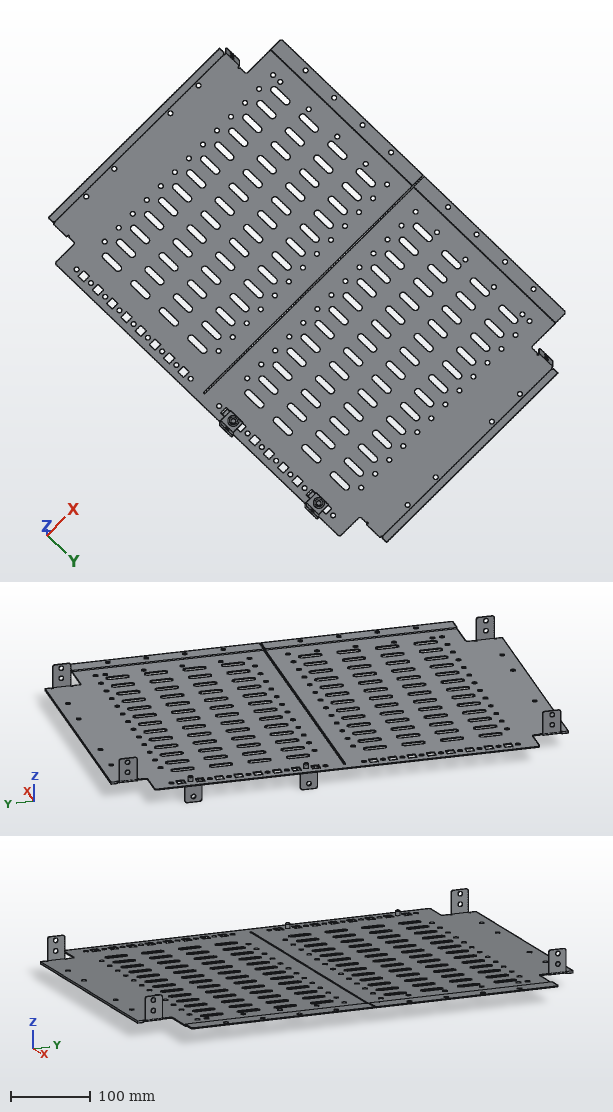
import cadquery as cq
import math

sheet = 1.5
pitch = 25.0
small_hole_dia = 6.0
cut_depth = 20.0
sides = (1, -1)

shelf_left = -201.25
shelf_right = 202.25
shelf_half_length = 250.0
shelf_corner_radius = 3.0
inner_corner_radius = 2.5

lip_start = 182.2
jog_run = 0.5
lip_hole_x = 195.0

flange_center_x = -12.5
flange_half_width = 152.5
flange_end = 296.8
flange_hole_y = 282.0
flange_hole_offsets = (-100.0, -50.0, 50.0, 100.0)
hem_length = 9.3

tab_center_y = 275.0
tab_width = 23.5
tab_height = 30.5
tab_corner_radius = 3.0
tab_hole_dia = 6.0
tab_hole_y = 275.7
tab_hole_heights = (11.3, 25.0)
relief_width = 2.0
relief_depth = 1.5

slot_columns = 13
slot_length = 30.0
slot_width = 8.3
slot_rows = [pitch * 2 * i for i in range(1, 5)]
hole_row_center_x = pitch / 2
hole_row_ys = (pitch, 9 * pitch)
window_column_x = -187.5
window_size = 10.0
window_ys = [pitch * (i + 0.5) for i in range(1, 9)]
round_ys = [pitch * i for i in range(1, 10)]
right_column_x = hole_row_center_x + 6 * pitch
right_column_ys = [pitch * (2 * i + 0.5) for i in range(1, 5)]
slit_width = 2.0
slit_start = -189.0

bracket_ys = (2 * pitch, 8 * pitch)
bracket_width = 22.0
bracket_sheet = 2.5
bracket_flange_length = 20.0
bracket_bottom = -23.5
bracket_corner_radius = 3.0
bracket_hole_dia = 6.0
bracket_hole_z = -16.0
lug_width = 9.0
lug_run = 4.1
lug_angle = 19.0

screw_dia = 6.0
screw_top = 6.5
screw_tip_chamfer = 1.2
collar_dia = 10.0
collar_height = 2.7
disc_dia = 14.0
disc_height = 0.8
screw_tail = 2.0


def box(x_min, x_max, y_min, y_max, z_min, z_max):
    block = cq.Workplane("XY").box(x_max - x_min, y_max - y_min, z_max - z_min, centered=False)
    return block.translate((x_min, y_min, z_min))


def shelf_blank():
    """Flat plate whose right edge jogs up by one sheet thickness to form the lip."""
    jog_start = lip_start - jog_run
    profile = [
        (shelf_left, -sheet),
        (jog_start + sheet, -sheet),
        (lip_start + sheet, 0),
        (shelf_right, 0),
        (shelf_right, sheet),
        (lip_start, sheet),
        (jog_start, 0),
        (shelf_left, 0),
    ]
    blank = (
        cq.Workplane("XZ", origin=(0, shelf_half_length, 0))
        .polyline(profile)
        .close()
        .extrude(2 * shelf_half_length)
    )
    return blank.edges("|Z and (<X or >X)").fillet(shelf_corner_radius)


def upright_tab(edge, side):
    """Tab standing on the outside of the flange edge."""
    outer = edge + side * sheet
    y_min = tab_center_y - tab_width / 2
    tab = box(min(edge, outer), max(edge, outer), y_min, y_min + tab_width, -sheet, tab_height)
    tab = tab.edges("|X and >Z").fillet(tab_corner_radius)
    holes = (
        cq.Workplane("YZ", origin=(edge - cut_depth / 2, 0, 0))
        .pushPoints([(tab_hole_y, z) for z in tab_hole_heights])
        .circle(tab_hole_dia / 2)
        .extrude(cut_depth)
    )
    return tab.cut(holes)


def end_flange():
    """Flange at the +Y end with its flat hem, two upright tabs and bend reliefs."""
    left = flange_center_x - flange_half_width
    right = flange_center_x + flange_half_width
    flange = box(left, right, shelf_half_length - sheet, flange_end, -sheet, 0)
    hem = box(left, right, flange_end - hem_length, flange_end, -2 * sheet, -sheet)
    flange = flange.union(hem)
    for side in sides:
        edge = flange_center_x + side * flange_half_width
        for end in sides:
            relief_y = tab_center_y + end * (tab_width + relief_width) / 2
            relief = cq.Workplane("XY").box(2 * relief_depth, relief_width, cut_depth)
            flange = flange.cut(relief.translate((edge, relief_y, 0)))
        flange = flange.union(upright_tab(edge, side))
    holes = (
        cq.Workplane("XY", origin=(flange_center_x, flange_hole_y, -cut_depth / 2))
        .pushPoints([(x, 0) for x in flange_hole_offsets])
        .circle(small_hole_dia / 2)
        .extrude(cut_depth)
    )
    return flange.cut(holes)


def perforations():
    """Slots, round holes and square windows of the +Y half of the shelf."""
    half = cq.Workplane("XY", origin=(0, 0, -cut_depth / 2))
    columns = [pitch * (i - slot_columns // 2) for i in range(slot_columns)]
    slots = (
        half.pushPoints([(x, y) for x in columns for y in slot_rows])
        .slot2D(slot_length, slot_width, 90)
        .extrude(cut_depth)
    )
    hole_points = [(x + hole_row_center_x, y) for x in columns for y in hole_row_ys]
    hole_points += [(window_column_x, y) for y in round_ys]
    hole_points += [(right_column_x, y) for y in right_column_ys]
    hole_points += [(lip_hole_x, y) for y in slot_rows]
    holes = half.pushPoints(hole_points).circle(small_hole_dia / 2).extrude(cut_depth)
    windows = (
        half.pushPoints([(window_column_x, y) for y in window_ys])
        .rect(window_size, window_size)
        .extrude(cut_depth)
    )
    return slots.add(holes).add(windows).combine()


def make_shelf():
    shelf = shelf_blank()
    flange = end_flange()
    shelf = shelf.union(flange).union(flange.mirror("XZ"))
    corners = [
        (flange_center_x + x_side * flange_half_width, y_side * shelf_half_length)
        for x_side in sides
        for y_side in sides
    ]
    for x, y in corners:
        corner_edge = cq.selectors.BoxSelector((x - 1, y - 1, -sheet), (x + 1, y + 1, 0))
        shelf = shelf.edges("|Z").edges(corner_edge).fillet(inner_corner_radius)
    half = perforations()
    shelf = shelf.cut(half).cut(half.mirror("XZ"))
    slit = box(slit_start, shelf_right, -slit_width / 2, slit_width / 2, -cut_depth / 2, cut_depth / 2)
    return shelf.cut(slit)


def make_bracket(y):
    """Angle bracket under the shelf with a sloping lug that rises into the next window."""
    y_min = y - bracket_width / 2
    y_max = y + bracket_width / 2
    flange = box(
        shelf_left, shelf_left + bracket_flange_length, y_min, y_max, -sheet - bracket_sheet, -sheet
    )
    leg = box(shelf_left, shelf_left + bracket_sheet, y_min, y_max, bracket_bottom, -sheet)
    leg = leg.edges("|X and <Z").fillet(bracket_corner_radius)
    leg_hole = (
        cq.Workplane("YZ", origin=(shelf_left, y, bracket_hole_z))
        .circle(bracket_hole_dia / 2)
        .extrude(bracket_sheet)
    )
    rise = lug_run * math.tan(math.radians(lug_angle))
    lug = (
        cq.Workplane("YZ", origin=(window_column_x - lug_width / 2, y_min, -sheet))
        .polyline([(0, 0), (-lug_run, rise), (-lug_run, rise - bracket_sheet), (0, -bracket_sheet)])
        .close()
        .extrude(lug_width)
    )
    screw_hole = (
        cq.Workplane("XY", origin=(window_column_x, y, -cut_depth / 2))
        .circle(screw_dia / 2)
        .extrude(cut_depth)
    )
    return flange.union(leg.cut(leg_hole)).union(lug).cut(screw_hole)


def make_screw(y):
    """Screw through shelf and bracket, with a round collar and a thin disc below the bracket."""
    seat = -sheet - bracket_sheet
    disc_top = seat - collar_height
    screw_bottom = disc_top - disc_height - screw_tail
    at_axis = cq.Workplane("XY", origin=(window_column_x, y, 0))
    shank = at_axis.workplane(offset=screw_bottom).circle(screw_dia / 2).extrude(screw_top - screw_bottom)
    shank = shank.faces(">Z").chamfer(screw_tip_chamfer)
    collar = at_axis.workplane(offset=disc_top).circle(collar_dia / 2).extrude(collar_height)
    disc = at_axis.workplane(offset=disc_top - disc_height).circle(disc_dia / 2).extrude(disc_height)
    return shank.union(collar).union(disc)


shelf = make_shelf()
brackets = [make_bracket(y) for y in bracket_ys]
screws = [make_screw(y) for y in bracket_ys]

result = cq.Compound.makeCompound(
    [shelf.val()] + [bracket.val() for bracket in brackets] + [screw.val() for screw in screws]
)